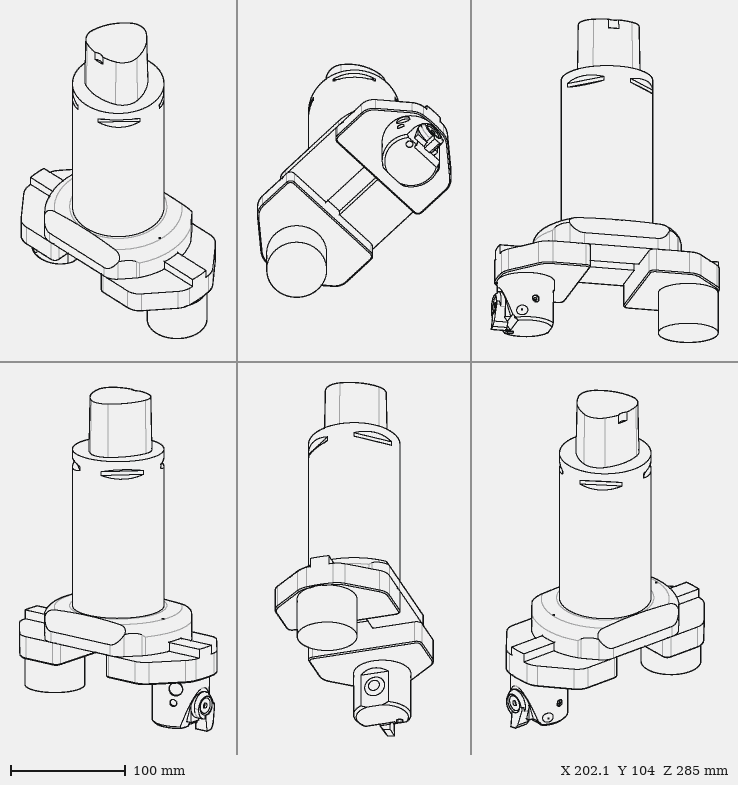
import cadquery as cq
import math


bridge_radius = 65.0
full_width = 104.0
half_width = full_width / 2
bridge_height = 28.0
bridge_facet_distance = 64.0
facet_angle = 40
corner_radius = 15.0
shoulder_radius = 42.5
crown_angle = 5
crown_fillet = 10.0
roof_angle = 60
roof_top_y = 41.5
coolant_diameter = 1.5
coolant_depth = 5.7
coolant_spots = [(-54.2, 4.5), (54.2, -4.0)]

tube_diameter = 80.0
tube_radius = tube_diameter / 2
tube_top = 170.1
grip_drop = 11.7
grip_floor_height = 3.5
grip_length = 37.0
grip_wall_angle = 30
grip_angles = (45, 135, 225, 315)

taper_top = 218.3
taper_angle = 1.1
lobe_reach = 29.5
flank_reach = 25.5
lobe_radius = 16.5
mark_width = 9.7
mark_height = 8.0
mark_depth = 1.7

slide_thickness = 20.5
slide_inner_x = 26.5
slide_outer_radius = 98.5
slide_end_fillet = 18.5
slide_facet_distance = 85.8
slide_inner_fillet = 5.0
slide_edge_chamfer = 1.0
key_width = 16.8
key_height = 8.0
key_clearance = 0.43

weight_x = 72.7
weight_y = -1.5
weight_radius = 26.2
weight_bottom = -57.3

cartridge_x = -72.5
cartridge_y = 2.3
cartridge_radius = 25.0
cartridge_bottom = -63.5
cartridge_chamfer = 2.3
back_flat_x = -50.7
back_flat_top = -31.0
bevel_top = -28.5
bevel_angle = 16.4
seat_x = -93.5
seat_bottom = -58.0
foot_left_y = 9.7
foot_right_y = -17.7
foot_run = 4.5
boss_diameter = 18.2
boss_top_diameter = 10.0
boss_height = 2.0
dome_angle = 249
dome_z = -55.0
dome_diameter = 10.0
dome_height = 2.3
dome_sink = 0.5
nozzle_diameter = 1.0
nozzle_depth = 5.7
side_holes = [
    (-83, -44.0, 6.3, 1.7),
    (-83, -44.0, 2.8, 5.0),
    (119, -27.5, 12.0, 2.3),
    (114, -40.0, 6.3, 2.3),
]
stud_x = -83.2
stud_y = 14.8
stud_diameter = 6.0
stud_height = 0.5

insert_z = -44.2
insert_radius = 12.0
insert_face_x = -101.0
insert_rim_depth = 3.5
insert_face_radius = 10.3
tip_x = -103.2
tip_bottom = -66.7
tip_back_x = -90.3
tip_left_y = 3.7
tip_right_y = -2.5
tip_rise = 0.9
relief_y = -5.5
relief_z = -61.8
flank_y = -9.0
flank_z = -47.3
tip_back_z = -61.5
screw_head_diameter = 13.7
screw_head_recess = 0.9
screw_head_height = 3.5
countersink_diameter = 16.5
screw_diameter = 8.5
screw_length = 22.8
socket_diameter = 4.5
socket_depth = 2.3


def polar(radius, degrees):
    """Vector in the XY plane."""
    return cq.Vector(radius * math.cos(math.radians(degrees)), radius * math.sin(math.radians(degrees)))


def faceted_prism(radius, facet_distance, bottom, height, end_fillet):
    """Hexagon with two flat sides in Y and four oblique facets, rounded off by a disc."""
    slant = math.radians(facet_angle)
    point_x = facet_distance / math.cos(slant)
    corner_x = (facet_distance - half_width * math.sin(slant)) / math.cos(slant)
    hexagon = (
        cq.Workplane("XY").workplane(offset=bottom)
        .polyline([
            (point_x, 0), (corner_x, half_width), (-corner_x, half_width),
            (-point_x, 0), (-corner_x, -half_width), (corner_x, -half_width),
        ])
        .close().extrude(height)
        .edges("|Z").edges("<Y or >Y").fillet(corner_radius)
    )
    disc = cq.Workplane("XY").workplane(offset=bottom).circle(radius).extrude(height)
    prism = hexagon.intersect(disc.rotate((0, 0, 0), (0, 0, 1), 90))
    return prism.edges("|Z").edges("<X or >X").fillet(end_fillet)


def crown():
    """Turned envelope of the bridge: flat shoulder, shallow cone and rounded rim."""
    slope = math.radians(crown_angle)
    fillet_center_x = bridge_radius - crown_fillet
    cone_end_x = fillet_center_x + crown_fillet * math.sin(slope)
    cone_end_z = bridge_height - (cone_end_x - shoulder_radius) * math.tan(slope)
    fillet_center_z = cone_end_z - crown_fillet * math.cos(slope)
    middle = math.radians((90 - crown_angle) / 2)
    arc_middle = (
        fillet_center_x + crown_fillet * math.cos(middle),
        fillet_center_z + crown_fillet * math.sin(middle),
    )
    return (
        cq.Workplane("XZ")
        .lineTo(bridge_radius, 0)
        .lineTo(bridge_radius, fillet_center_z)
        .threePointArc(arc_middle, (cone_end_x, cone_end_z))
        .lineTo(shoulder_radius, bridge_height)
        .lineTo(0, bridge_height)
        .close()
        .revolve(360, (0, 0, 0), (0, 1, 0))
    )


def roof():
    """Envelope with the two sloping flats along the long sides."""
    eave_z = bridge_height - (half_width - roof_top_y) * math.tan(math.radians(roof_angle))
    outline = [
        (-half_width, 0), (half_width, 0), (half_width, eave_z),
        (roof_top_y, bridge_height), (-roof_top_y, bridge_height), (-half_width, eave_z),
    ]
    return cq.Workplane("YZ").polyline(outline).close().extrude(bridge_radius, both=True)


def bridge():
    body = faceted_prism(bridge_radius, bridge_facet_distance, 0, bridge_height, corner_radius)
    body = body.intersect(crown()).intersect(roof())
    key_slot = cq.Workplane("XY").box(
        2 * bridge_radius, key_width, key_height + key_clearance, centered=(True, True, False)
    )
    coolant_holes = (
        cq.Workplane("XY").workplane(offset=bridge_height - coolant_depth)
        .pushPoints(coolant_spots).circle(coolant_diameter / 2).extrude(coolant_depth)
    )
    return body.cut(key_slot).cut(coolant_holes)


def grip_groove(angle):
    """Gripper groove with a flat floor and sloping walls across the tube."""
    floor = math.sqrt(tube_radius**2 - (grip_length / 2) ** 2)
    rim = tube_radius + grip_floor_height
    half_floor = grip_floor_height / 2
    half_mouth = half_floor + (rim - floor) * math.tan(math.radians(grip_wall_angle))
    return (
        cq.Workplane("XZ")
        .polyline([(floor, -half_floor), (rim, -half_mouth), (rim, half_mouth), (floor, half_floor)])
        .close()
        .extrude(tube_radius, both=True)
        .translate((0, 0, tube_top - grip_drop))
        .rotate((0, 0, 0), (0, 0, 1), angle)
    )


def tube():
    body = cq.Workplane("XY").workplane(offset=bridge_height).circle(tube_radius)
    body = body.extrude(tube_top - bridge_height)
    for angle in grip_angles:
        body = body.cut(grip_groove(angle))
    return body


def polygon_taper():
    """Three-lobed taper: tangent lobe and flank arcs, one lobe pointing to +Y."""
    lobe_offset = lobe_reach - lobe_radius
    flank_radius = (
        (lobe_offset**2 + flank_reach**2 - lobe_offset * flank_reach - lobe_radius**2)
        / (2 * flank_reach - lobe_offset - 2 * lobe_radius)
    )
    first_center = polar(lobe_offset, 0)
    flank_center = polar(flank_radius - flank_reach, 240)
    joint = first_center + (first_center - flank_center).normalized() * lobe_radius
    joint_reach = joint.Length
    joint_angle = math.degrees(math.atan2(joint.y, joint.x))

    outline = cq.Workplane("XY").workplane(offset=tube_top)
    start = polar(joint_reach, 90 - joint_angle)
    outline = outline.moveTo(start.x, start.y)
    for lobe in (90, 210, 330):
        lobe_middle = polar(lobe_reach, lobe)
        lobe_end = polar(joint_reach, lobe + joint_angle)
        flank_middle = polar(flank_reach, lobe + 60)
        flank_end = polar(joint_reach, lobe + 120 - joint_angle)
        outline = outline.threePointArc(lobe_middle.toTuple()[:2], lobe_end.toTuple()[:2])
        outline = outline.threePointArc(flank_middle.toTuple()[:2], flank_end.toTuple()[:2])
    height = taper_top - tube_top
    body = outline.close().extrude(height, taper=taper_angle)

    mark_radius = ((mark_width / 2) ** 2 + mark_depth**2) / (2 * mark_depth)
    face_y = -flank_reach + height * math.tan(math.radians(taper_angle))
    mark = (
        cq.Workplane("XY").workplane(offset=taper_top - mark_height)
        .center(0, face_y + mark_depth - mark_radius).circle(mark_radius).extrude(mark_height)
    )
    return body.cut(mark)


def make_shank():
    return bridge().union(tube()).union(polygon_taper())


def make_slide(angle):
    """Slide on the +X side, turned about Z by the angle."""
    plate = faceted_prism(
        slide_outer_radius, slide_facet_distance, -slide_thickness, slide_thickness, slide_end_fillet
    )
    outer_half = cq.Workplane("XY").box(
        slide_outer_radius, 2 * half_width, 4 * slide_thickness, centered=(False, True, True)
    ).translate((slide_inner_x, 0, 0))
    plate = plate.intersect(outer_half)
    plate = plate.edges("|Z and <X").fillet(slide_inner_fillet)
    plate = plate.faces("<Z").chamfer(slide_edge_chamfer)
    key = (
        cq.Workplane("XY").circle(slide_outer_radius).extrude(key_height)
        .intersect(outer_half)
        .intersect(cq.Workplane("XY").box(3 * slide_outer_radius, key_width, 4 * key_height))
    )
    return plate.union(key).rotate((0, 0, 0), (0, 0, 1), angle)


def make_counterweight():
    return (
        cq.Workplane("XY").workplane(offset=weight_bottom).center(weight_x, weight_y)
        .circle(weight_radius).extrude(-slide_thickness - weight_bottom)
    )


def disc_along_x(x_start, x_end, diameter):
    """Cylinder on the insert axis, which is parallel to X."""
    return (
        cq.Workplane("YZ").workplane(offset=x_start).center(cartridge_y, insert_z)
        .circle(diameter / 2).extrude(x_end - x_start)
    )


def cone_along_x(x_start, start_diameter, x_end, end_diameter):
    return (
        cq.Workplane("YZ").workplane(offset=x_start).center(cartridge_y, insert_z)
        .circle(start_diameter / 2).workplane(offset=x_end - x_start).circle(end_diameter / 2).loft()
    )


def side_hole(angle, z, diameter, depth):
    """Hole square to the round side of the cartridge; angle is from +X about Z."""
    hole = cq.Workplane("YZ").workplane(offset=cartridge_radius - depth).circle(diameter / 2)
    hole = hole.extrude(2 * depth).rotate((0, 0, 0), (0, 0, 1), angle)
    return hole.translate((cartridge_x, cartridge_y, z))


def cut_front_bevel(body):
    """Bevel on the -X side, with a raised seat and a round pocket for the insert."""
    front_x = cartridge_x - cartridge_radius
    slope = math.tan(math.radians(bevel_angle))
    depth = (bevel_top - cartridge_bottom) * slope
    bevel = (
        cq.Workplane("XZ")
        .polyline([(front_x, bevel_top), (front_x + depth, cartridge_bottom), (front_x, cartridge_bottom)])
        .close().extrude(cartridge_radius * 2, both=True)
    )
    seat = cq.Workplane("XY").box(
        cartridge_x - seat_x, 2 * insert_radius, insert_z - seat_bottom, centered=(False, True, False)
    ).translate((seat_x, cartridge_y, seat_bottom))
    seat = seat.intersect(body)
    pocket = disc_along_x(tip_x, seat_x, 2 * insert_radius)
    foot_x = front_x + (bevel_top - seat_bottom) * slope
    foot = (
        cq.Workplane("XZ", origin=(0, foot_left_y, 0))
        .polyline([
            (front_x, seat_bottom), (foot_x, seat_bottom),
            (foot_x + foot_run, cartridge_bottom), (front_x, cartridge_bottom),
        ])
        .close().extrude(foot_left_y - foot_right_y)
    )
    return body.cut(bevel).union(seat).cut(pocket).cut(foot)


def cut_back_flat(body):
    """Flat on the +X side with a sloping upper end and a low boss on the insert axis."""
    rim_x = cartridge_x + cartridge_radius
    flat = (
        cq.Workplane("XZ")
        .polyline([
            (back_flat_x, cartridge_bottom), (rim_x, cartridge_bottom),
            (rim_x, back_flat_top + rim_x - back_flat_x), (back_flat_x, back_flat_top),
        ])
        .close().extrude(2 * cartridge_radius, both=True)
    )
    boss = cone_along_x(back_flat_x, boss_diameter, back_flat_x + boss_height, boss_top_diameter)
    return body.cut(flat).union(boss)


def nozzle_dome():
    """Ball sunk in the round side so that only a shallow dome shows."""
    ball_radius = ((dome_diameter / 2) ** 2 + dome_height**2) / (2 * dome_height)
    return (
        cq.Workplane("XY").sphere(ball_radius)
        .translate((cartridge_radius + dome_height - dome_sink - ball_radius, 0, 0))
        .rotate((0, 0, 0), (0, 0, 1), dome_angle)
        .translate((cartridge_x, cartridge_y, dome_z))
    )


def make_cartridge():
    body = (
        cq.Workplane("XY").workplane(offset=cartridge_bottom).center(cartridge_x, cartridge_y)
        .circle(cartridge_radius).extrude(-slide_thickness - cartridge_bottom)
        .faces("<Z").chamfer(cartridge_chamfer)
    )
    body = cut_back_flat(cut_front_bevel(body))
    for angle, z, diameter, depth in side_holes:
        body = body.cut(side_hole(angle, z, diameter, depth))
    stud = (
        cq.Workplane("XY").workplane(offset=cartridge_bottom - stud_height).center(stud_x, stud_y)
        .circle(stud_diameter / 2).extrude(stud_height)
    )
    screw_hole = disc_along_x(seat_x, insert_face_x + screw_length, screw_diameter)
    nozzle = side_hole(dome_angle, dome_z, nozzle_diameter, nozzle_depth)
    return body.union(nozzle_dome()).cut(nozzle).union(stud).cut(screw_hole)


def cutting_tooth():
    """Tooth that reaches down from the insert disc and flares towards its tip."""
    outline_yz = [
        (tip_left_y, insert_z), (tip_left_y, tip_bottom), (tip_right_y, tip_bottom + tip_rise),
        (relief_y, relief_z), (flank_y, flank_z), (flank_y, insert_z),
    ]
    width = cq.Workplane("YZ").workplane(offset=tip_x).polyline(outline_yz).close()
    width = width.extrude(tip_back_x - tip_x)
    outline_xz = [
        (insert_face_x, insert_z), (tip_x, tip_bottom), (tip_back_x, tip_bottom),
        (tip_back_x, tip_back_z), (seat_x, seat_bottom), (seat_x, insert_z),
    ]
    depth = cq.Workplane("XZ").polyline(outline_xz).close().extrude(insert_radius * 2, both=True)
    return width.intersect(depth)


def make_insert():
    rim_x = insert_face_x + insert_rim_depth
    disc = disc_along_x(rim_x, seat_x, 2 * insert_radius)
    rim = (
        cq.Workplane("YZ").workplane(offset=rim_x).center(cartridge_y, insert_z)
        .circle(insert_radius)
        .workplane(offset=-insert_rim_depth).center(0, insert_face_radius - insert_radius)
        .circle(insert_face_radius).loft()
    )
    head_x = insert_face_x + screw_head_recess
    clearance = disc_along_x(tip_x, insert_face_x, countersink_diameter)
    countersink = cone_along_x(insert_face_x, countersink_diameter, head_x, screw_head_diameter)
    head_bore = disc_along_x(head_x, head_x + screw_head_height, screw_head_diameter)
    bore = disc_along_x(head_x, seat_x, screw_diameter)
    return disc.union(rim).union(cutting_tooth()).cut(clearance).cut(countersink).cut(head_bore).cut(bore)


def make_insert_screw():
    head_x = insert_face_x + screw_head_recess
    head = disc_along_x(head_x, head_x + screw_head_height, screw_head_diameter)
    stem = disc_along_x(head_x, insert_face_x + screw_length, screw_diameter)
    socket = disc_along_x(head_x, head_x + socket_depth, socket_diameter)
    return head.union(stem).cut(socket)


shank = make_shank()
slides = [make_slide(angle) for angle in (0, 180)]
counterweight = make_counterweight()
cartridge = make_cartridge()
insert = make_insert()
insert_screw = make_insert_screw()

result = cq.Compound.makeCompound([
    shank.val(),
    *[slide.val() for slide in slides],
    counterweight.val(),
    cartridge.val(),
    insert.val(),
    insert_screw.val(),
])